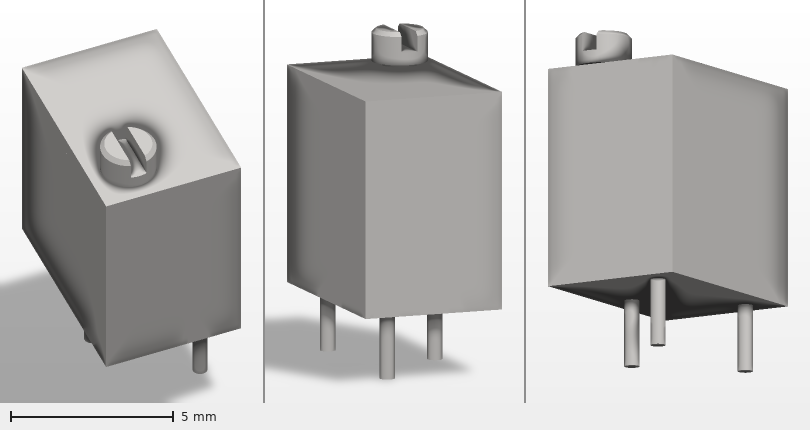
import cadquery as cq

HOUSING_WIDTH = 6.71
HOUSING_DEPTH = 4.5
PIN_LENGTH = 2.06
SCREW_RISE = 1.14
OVERALL_HEIGHT = 9.99
HOUSING_BOTTOM = PIN_LENGTH
HOUSING_TOP = OVERALL_HEIGHT - SCREW_RISE
HOUSING_HEIGHT = HOUSING_TOP - HOUSING_BOTTOM
CENTER_X = HOUSING_WIDTH / 2

TOP_WALL = 0.49
BACK_WALL = 0.49
FILLER_DEPTH = HOUSING_DEPTH - BACK_WALL
FILLER_TOP = HOUSING_TOP - TOP_WALL
FILLER_HALF_WIDTH = 2.93
FOOT_HALF_WIDTH = 2.99
CORNER_CUT_WIDTH = 1.47
CORNER_CUT_HEIGHT = 1.45
OUTER_LEG_INNER = 2.32
OUTER_LEG_OUTER = 2.81
MIDDLE_LEG_HALF_WIDTH = 0.26
POST_INNER = 0.53
POST_OUTER = 1.92

LEG_END = 0.03
LEG_TOP = 0.25
FOOT_BEVEL_TOP = 0.45
POST_SHOULDER = 0.53
POST_TOP = 0.95
FOOT_TOP = 1.18
WAIST_BOTTOM = 1.29

PIN_DIAMETER = 0.47
PIN_PITCH = 2.54
MIDDLE_PIN_OFFSET = -0.02
MIDDLE_PIN_Y = 0.93
OUTER_PIN_Y = MIDDLE_PIN_Y + PIN_PITCH

SCREW_X = 5.49
SCREW_Y = 1.25
HEAD_DIAMETER = 1.74
HEAD_BEVEL = 0.13
NECK_DIAMETER = 1.12
NECK_HEIGHT = 0.12
HEAD_HEIGHT = SCREW_RISE - NECK_HEIGHT
SLOT_WIDTH = 0.52
SLOT_DEPTH = 0.62


def filler_block():
    """Block filling the cavity, with three legs that reach down to the thin housing floor."""
    right_lower = [
        (MIDDLE_LEG_HALF_WIDTH, LEG_END),
        (MIDDLE_LEG_HALF_WIDTH, LEG_TOP),
        (POST_INNER, POST_SHOULDER),
        (POST_INNER, POST_TOP),
        (POST_OUTER, POST_TOP),
        (POST_OUTER, POST_SHOULDER),
        (OUTER_LEG_INNER, LEG_TOP),
        (OUTER_LEG_INNER, LEG_END),
        (OUTER_LEG_OUTER, LEG_END),
        (OUTER_LEG_OUTER, LEG_TOP),
        (FOOT_HALF_WIDTH, FOOT_BEVEL_TOP),
        (FOOT_HALF_WIDTH, FOOT_TOP),
        (FILLER_HALF_WIDTH, WAIST_BOTTOM),
    ]
    left_lower = [(-x, z) for x, z in reversed(right_lower)]
    top = FILLER_TOP - HOUSING_BOTTOM
    upper = [
        (FILLER_HALF_WIDTH, top),
        (CORNER_CUT_WIDTH - FILLER_HALF_WIDTH, top),
        (-FILLER_HALF_WIDTH, top - CORNER_CUT_HEIGHT),
    ]
    return (
        cq.Workplane("XZ", origin=(CENTER_X, 0, HOUSING_BOTTOM))
        .polyline(right_lower + upper + left_lower)
        .close()
        .extrude(-FILLER_DEPTH)
    )


def make_housing():
    """Box with a front cavity of the same shape as the filler block."""
    box = cq.Workplane("XY", origin=(0, 0, HOUSING_BOTTOM)).box(
        HOUSING_WIDTH, HOUSING_DEPTH, HOUSING_HEIGHT, centered=False
    )
    return box.cut(filler_block())


def make_pin(x, y):
    """Round pin under the housing, in line with one filler leg."""
    return cq.Workplane("XY", origin=(x, y, 0)).circle(PIN_DIAMETER / 2).extrude(PIN_LENGTH)


def make_screw():
    """Screw with a short neck and a bevelled head, slotted along X."""
    neck = (
        cq.Workplane("XY", origin=(SCREW_X, SCREW_Y, HOUSING_TOP))
        .circle(NECK_DIAMETER / 2)
        .extrude(NECK_HEIGHT)
    )
    head = (
        cq.Workplane("XY", origin=(SCREW_X, SCREW_Y, HOUSING_TOP + NECK_HEIGHT))
        .circle(HEAD_DIAMETER / 2)
        .extrude(HEAD_HEIGHT)
        .faces(">Z")
        .chamfer(HEAD_BEVEL)
    )
    slot = cq.Workplane("XY", origin=(SCREW_X, SCREW_Y, OVERALL_HEIGHT - SLOT_DEPTH)).box(
        HEAD_DIAMETER, SLOT_WIDTH, SLOT_DEPTH, centered=(True, True, False)
    )
    return neck.union(head).cut(slot)


housing = make_housing()
filler = filler_block()
screw = make_screw()

pin_places = [
    (CENTER_X - PIN_PITCH, OUTER_PIN_Y),
    (CENTER_X + MIDDLE_PIN_OFFSET, MIDDLE_PIN_Y),
    (CENTER_X + PIN_PITCH, OUTER_PIN_Y),
]
pins = []
for pin_x, pin_y in pin_places:
    pins.append(make_pin(pin_x, pin_y).val())

result = cq.Compound.makeCompound([housing.val(), filler.val(), screw.val(), *pins])